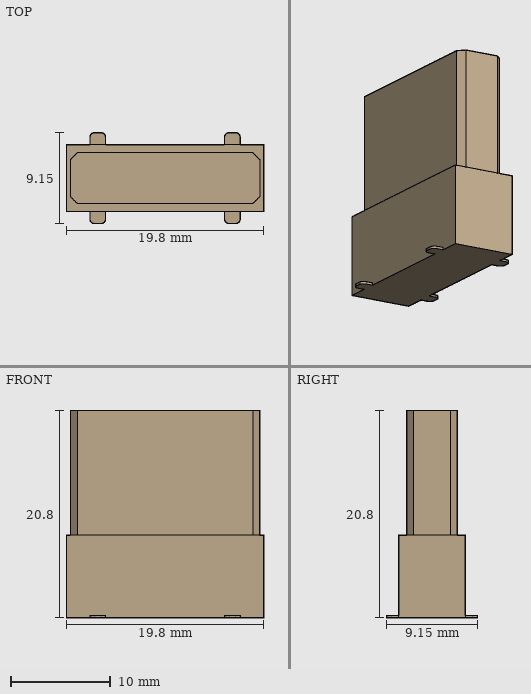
import cadquery as cq

base_length = 19.8
base_width = 6.7
base_height = 8.3

total_height = 20.8
upper_length = 19.0
upper_width = 5.1
upper_height = total_height - base_height
upper_chamfer = 0.7

tab_span = 9.15
tab_width = 1.6
tab_thickness = 0.25
tab_corner_radius = 0.5
tab_spacing = 13.5


def make_base():
    """Plain rectangular block standing on Z = 0."""
    return cq.Workplane("XY").box(base_length, base_width, base_height, centered=(True, True, False))


def make_upper_block():
    """Narrower block on top of the base."""
    return (
        cq.Workplane("XY", origin=(0, 0, base_height))
        .box(upper_length, upper_width, upper_height, centered=(True, True, False))
        .edges("|Z")
        .chamfer(upper_chamfer)
    )


def make_tab_strip(x_position):
    """Strip through the base along Y whose rounded ends form a pair of tabs."""
    return (
        cq.Workplane("XY", origin=(x_position, 0, 0))
        .box(tab_width, tab_span, tab_thickness, centered=(True, True, False))
        .edges("|Z")
        .fillet(tab_corner_radius)
    )


result = make_base().union(make_upper_block())
for side in (-1, 1):
    result = result.union(make_tab_strip(side * tab_spacing / 2))